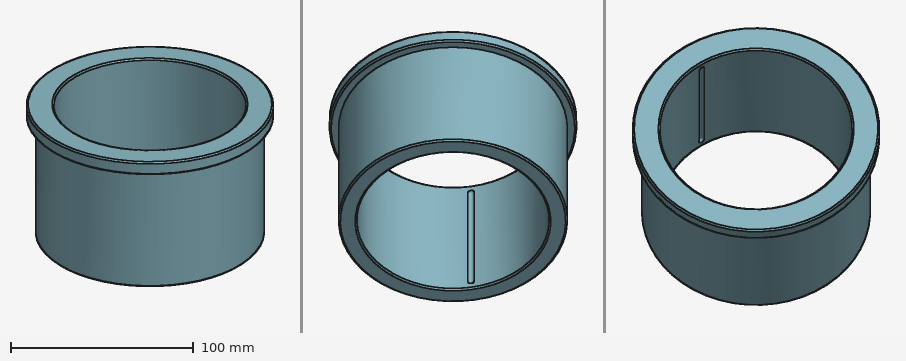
import cadquery as cq

flange_diameter = 135.0
body_diameter = 125.0
bore_diameter = 105.0
total_height = 80.0
flange_thickness = 8.0
edge_chamfer = 1.0
groove_width = 3.5
groove_end_margin = 4.0

flange_radius = flange_diameter / 2
body_radius = body_diameter / 2
bore_radius = bore_diameter / 2
flange_bottom = total_height - flange_thickness
groove_radius = groove_width / 2
groove_top = total_height - groove_end_margin

half_section = (
    cq.Workplane("XZ")
    .moveTo(bore_radius + edge_chamfer, 0)
    .lineTo(body_radius - edge_chamfer, 0)
    .lineTo(body_radius, edge_chamfer)
    .lineTo(body_radius, flange_bottom)
    .lineTo(flange_radius - edge_chamfer, flange_bottom)
    .lineTo(flange_radius, flange_bottom + edge_chamfer)
    .lineTo(flange_radius, total_height - edge_chamfer)
    .lineTo(flange_radius - edge_chamfer, total_height)
    .lineTo(bore_radius + edge_chamfer, total_height)
    .lineTo(bore_radius, total_height - edge_chamfer)
    .lineTo(bore_radius, edge_chamfer)
    .close()
)

bushing = half_section.revolve(360, (0, 0, 0), (0, 1, 0))

groove_cutter = (
    cq.Workplane("XZ", origin=(bore_radius, 0, 0))
    .moveTo(0, groove_end_margin)
    .radiusArc((groove_radius, groove_end_margin + groove_radius), -groove_radius)
    .lineTo(groove_radius, groove_top - groove_radius)
    .radiusArc((0, groove_top), -groove_radius)
    .close()
    .revolve(360, (0, 0, 0), (0, 1, 0))
)

result = bushing.cut(groove_cutter)